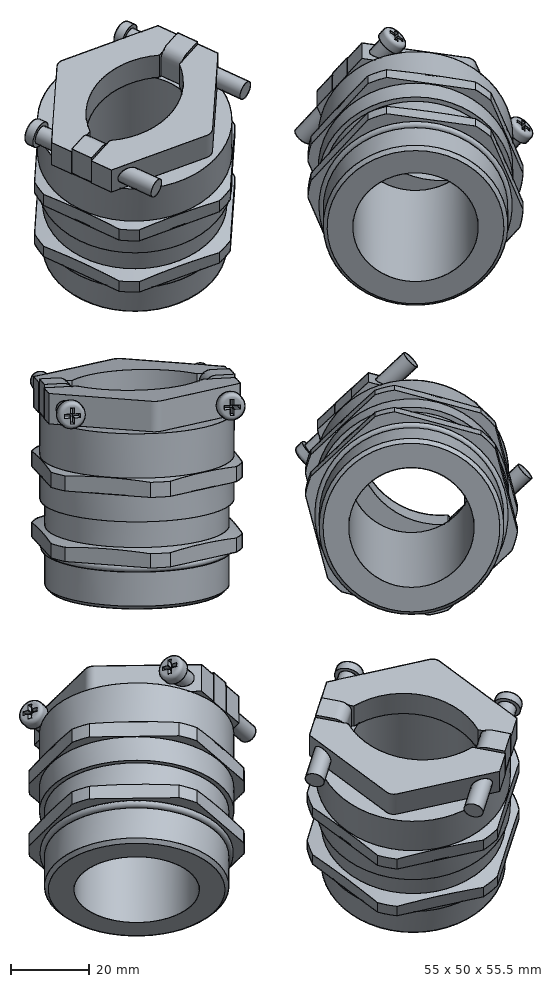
import cadquery as cq
import math

TOTAL_HEIGHT = 55.5
JAW_TOP = 54.6
CAP_TOP = 46.6
CAP_BOTTOM = 23.5
UPPER_NUT_BOTTOM = 30.5
UPPER_NUT_TOP = 34.95
LOWER_NUT_BOTTOM = 12.0
LOWER_NUT_TOP = 16.45

BODY_RADIUS = 23.55
CAP_RADIUS = 24.8
BORE_RADIUS = 16.0
END_CHAMFER = 1.0
RING_SECTION_RADIUS = 1.0
RING_OUTER_RADIUS = 24.65

NUT_FLATS = 50.0
NUT_ACROSS_CORNERS = 55.0
NUT_CORNER_RADIUS = NUT_ACROSS_CORNERS / 2
NUT_TOP_SLOPE = 10.0

JAW_FLAT_HALF_LENGTH = 9.1
JAW_TIP_FILLET = 2.8
JAW_GRIP_RADIUS = 21.05
JAW_GRIP_HALF_OPENING = 10.75

BLOCK_WIDTH = 6.0
BLOCK_INNER_Y = 16.9
BLOCK_OUTER_Y = 24.85
BLOCK_FILLET = 3.05

SCREW_Y = 20.85
SCREW_Z = (JAW_TOP + CAP_TOP) / 2
SHANK_RADIUS = 2.5
SCREW_END_X = 20.1
HEAD_RADIUS = 3.55
HEAD_X = -18.05
HEAD_THICKNESS = 2.95
HEAD_FILLET = 1.05

RECESS_SPAN = 4.15
RECESS_WIDTH = 1.0
RECESS_ARM_DEPTH = 1.35
RECESS_TAPER = 10.0
RECESS_CENTRE_RADIUS = 0.85
RECESS_CENTRE_DEPTH = 2.2


def cylinder(radius, bottom, top):
    return cq.Workplane("XY").workplane(offset=bottom).circle(radius).extrude(top - bottom)


def make_body():
    """Round body with a chamfered lower end, and the wider cap on top of it."""
    body = cylinder(BODY_RADIUS, 0, CAP_BOTTOM).faces("<Z").chamfer(END_CHAMFER)
    return body.union(cylinder(CAP_RADIUS, CAP_BOTTOM, CAP_TOP))


def make_ring():
    """Sealing ring of round section under the lower nut."""
    section_radius = RING_OUTER_RADIUS - RING_SECTION_RADIUS
    section_height = LOWER_NUT_BOTTOM - RING_SECTION_RADIUS
    section = cq.Workplane("XZ").moveTo(section_radius, section_height).circle(RING_SECTION_RADIUS)
    return section.revolve(360, (0, 0), (0, 1))


def make_nut(bottom, top, collar_radius):
    """Hexagon with turned corners, its top sloping down outward from the collar."""
    sharp_diameter = NUT_FLATS / math.cos(math.radians(30))
    hexagon = cq.Workplane("XY").workplane(offset=bottom).polygon(6, sharp_diameter).extrude(top - bottom)
    slope_drop = (NUT_CORNER_RADIUS - collar_radius) * math.tan(math.radians(NUT_TOP_SLOPE))
    envelope = (
        cq.Workplane("XZ")
        .moveTo(0, bottom)
        .lineTo(NUT_CORNER_RADIUS, bottom)
        .lineTo(NUT_CORNER_RADIUS, top - slope_drop)
        .lineTo(collar_radius, top)
        .lineTo(0, top)
        .close()
        .revolve(360, (0, 0), (0, 1))
    )
    return hexagon.intersect(envelope)


def make_jaws():
    """Two jaws forming a hexagonal plate, with a pointed opening made by two grip arcs."""
    height = JAW_TOP - CAP_TOP
    flat_y = NUT_FLATS / 2
    tip_x = JAW_FLAT_HALF_LENGTH + flat_y * math.tan(math.radians(30))
    plate = (
        cq.Workplane("XY")
        .workplane(offset=CAP_TOP)
        .polyline(
            [
                (tip_x, 0),
                (JAW_FLAT_HALF_LENGTH, flat_y),
                (-JAW_FLAT_HALF_LENGTH, flat_y),
                (-tip_x, 0),
                (-JAW_FLAT_HALF_LENGTH, -flat_y),
                (JAW_FLAT_HALF_LENGTH, -flat_y),
            ]
        )
        .close()
        .extrude(height)
    )
    plate = plate.edges("|Z and (<X or >X)").fillet(JAW_TIP_FILLET)

    arc_offset = JAW_GRIP_RADIUS - JAW_GRIP_HALF_OPENING
    grip = cylinder(JAW_GRIP_RADIUS, CAP_TOP, JAW_TOP)
    opening = grip.translate((arc_offset, 0, 0)).intersect(grip.translate((-arc_offset, 0, 0)))
    gap = cq.Workplane("XY").box(BLOCK_WIDTH, NUT_FLATS, height)
    gap = gap.translate((0, 0, CAP_TOP + height / 2))
    return plate.cut(opening).cut(gap)


def make_block(side):
    """Block between the jaws on one side, rounded over on its inner top edge."""
    length = BLOCK_OUTER_Y - BLOCK_INNER_Y
    block = (
        cq.Workplane("XY")
        .box(BLOCK_WIDTH, length, TOTAL_HEIGHT - CAP_TOP, centered=(True, True, False))
        .translate((0, side * (BLOCK_INNER_Y + BLOCK_OUTER_Y) / 2, CAP_TOP))
    )
    inner_edge = "<Y" if side > 0 else ">Y"
    return block.faces(">Z").edges(inner_edge).fillet(BLOCK_FILLET)


def make_recess():
    """Tapered cross with a conical centre, sunk from the outer face of a screw head."""
    head_face = cq.Workplane("YZ", origin=(HEAD_X, 0, 0))
    upright = head_face.rect(RECESS_WIDTH, RECESS_SPAN).extrude(RECESS_ARM_DEPTH, taper=RECESS_TAPER)
    level = head_face.rect(RECESS_SPAN, RECESS_WIDTH).extrude(RECESS_ARM_DEPTH, taper=RECESS_TAPER)
    centre = cq.Solid.makeCone(
        RECESS_CENTRE_RADIUS, 0, RECESS_CENTRE_DEPTH, pnt=cq.Vector(HEAD_X, 0, 0), dir=cq.Vector(1, 0, 0)
    )
    return upright.union(level).union(cq.Workplane(centre))


def make_screw(side):
    """Pan-head clamp screw on one side of the opening."""
    head_face = cq.Workplane("YZ", origin=(HEAD_X, 0, 0))
    head = head_face.circle(HEAD_RADIUS).extrude(HEAD_THICKNESS)
    head = head.faces("<X").edges().fillet(HEAD_FILLET)
    shank = head_face.workplane(offset=HEAD_THICKNESS).circle(SHANK_RADIUS)
    shank = shank.extrude(SCREW_END_X - HEAD_X - HEAD_THICKNESS)
    screw = head.union(shank).cut(make_recess())
    return screw.translate((0, side * SCREW_Y, SCREW_Z))


result = make_body()
result = result.union(make_ring())
result = result.union(make_nut(LOWER_NUT_BOTTOM, LOWER_NUT_TOP, BODY_RADIUS))
result = result.union(make_nut(UPPER_NUT_BOTTOM, UPPER_NUT_TOP, CAP_RADIUS))
result = result.cut(cylinder(BORE_RADIUS, 0, CAP_TOP))
result = result.union(make_jaws())
for side in (-1, 1):
    result = result.union(make_block(side))
    result = result.union(make_screw(side))